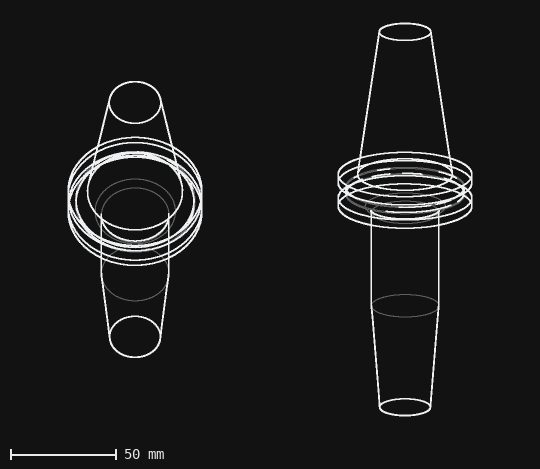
import cadquery as cq
import math

total_height = 188.4
shank_height = 71.5
flange_height = 15.8
nose_height = 51.0

shank_top_diameter = 24.5
shank_base_diameter = 45.0
flange_diameter = 63.5
groove_diameter = 56.0
neck_diameter = 32.0
nose_tip_diameter = 24.1

upper_rim_height = 4.1
groove_floor_height = 3.2
groove_wall_angle = 30.0
groove_corner_radius = 0.5
neck_fillet_radius = 3.0

flange_top = total_height - shank_height
flange_bottom = flange_top - flange_height


def make_body():
    """Revolve the tapered shank, plain flange, neck and tapered nose."""
    profile = (
        cq.Workplane("XZ")
        .moveTo(0, 0)
        .lineTo(nose_tip_diameter / 2, 0)
        .lineTo(neck_diameter / 2, nose_height)
        .lineTo(neck_diameter / 2, flange_bottom - neck_fillet_radius)
        .radiusArc((neck_diameter / 2 + neck_fillet_radius, flange_bottom), neck_fillet_radius)
        .lineTo(flange_diameter / 2, flange_bottom)
        .lineTo(flange_diameter / 2, flange_top)
        .lineTo(shank_base_diameter / 2, flange_top)
        .lineTo(shank_top_diameter / 2, total_height)
        .lineTo(0, total_height)
        .close()
    )
    return profile.revolve(360, (0, 0, 0), (0, 1, 0))


def make_groove():
    """Revolve the gripper groove with sloped walls and rounded floor corners, as a cutter."""
    outer_radius = flange_diameter / 2
    floor_radius = groove_diameter / 2
    wall_height = (outer_radius - floor_radius) * math.tan(math.radians(groove_wall_angle))
    groove_top = flange_top - upper_rim_height
    floor_top = groove_top - wall_height
    floor_bottom = floor_top - groove_floor_height
    groove_bottom = floor_bottom - wall_height
    profile = (
        cq.Workplane("XZ")
        .moveTo(outer_radius, groove_top)
        .lineTo(floor_radius, floor_top)
        .lineTo(floor_radius, floor_bottom)
        .lineTo(outer_radius, groove_bottom)
        .close()
    )
    cutter = profile.revolve(360, (0, 0, 0), (0, 1, 0))
    floor_edges = cq.selectors.RadiusNthSelector(0)
    return cutter.edges(floor_edges).fillet(groove_corner_radius)


result = make_body().cut(make_groove())